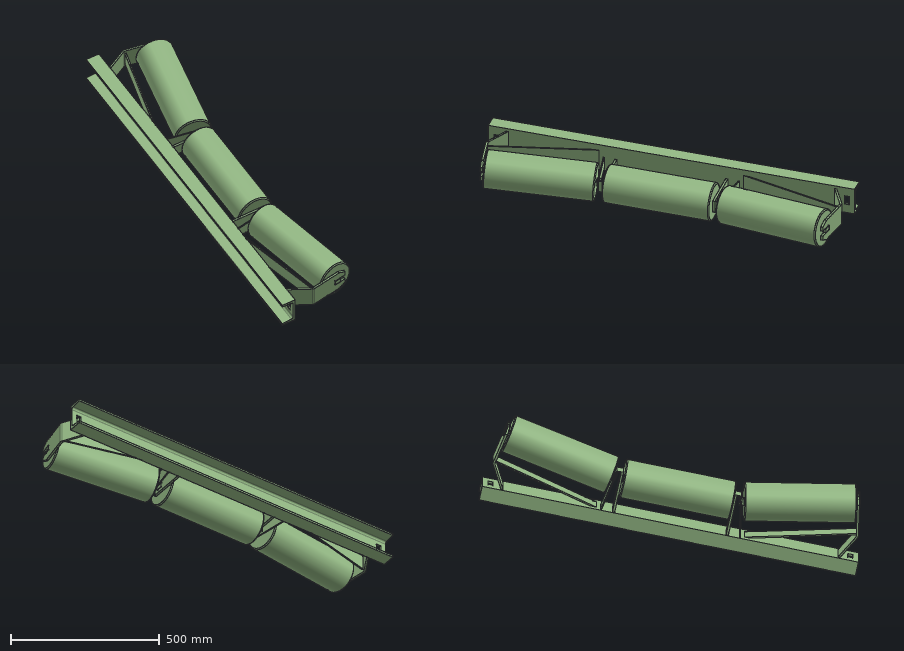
import cadquery as cq
import math


CHANNEL_LENGTH = 1300.0
CHANNEL_HEIGHT = 100.0
CHANNEL_DEPTH = 51.0
WEB_THICKNESS = 8.0
FLANGE_TIP = 8.0
FLANGE_ROOT = 12.0
FLANGE_FILLET = 8.0
MOUNT_SLOT_WIDTH = 17.0
MOUNT_SLOT_HEIGHT = 32.0
MOUNT_SLOT_X = 621.0

ROLLER_RADIUS = 66.0
ROLLER_LENGTH = 380.0
ROLLER_CHAMFER = 4.0
ROLLER_Z = -20.0
CENTRE_ROLLER_Y = 117.0
WING_INNER_X = 228.0
WING_INNER_Y = 121.0
TROUGH_ANGLE = 10.0
TILT_ANGLE = 3.0

SHAFT_DEPTH = 23.0
SHAFT_WIDTH = 15.0
POST_SHAFT_REACH = 10.0
WING_SHAFT_REACH = 15.0
OUTER_SHAFT_REACH = 14.0
SLOT_WIDTH = 20.0

PLATE = 8.0
BRACKET_WIDTH = 78.0
BEND_X = 632.0
BEND_Y = 83.0
BEND_RADIUS = 13.0
FOOT_X = 586.0
BRACKET_TOP_Y = 221.0
TIP_WIDTH = 52.0
TIP_TAPER = 26.0

POST_INNER_X = 192.0
STRAP = 4.0
INNER_TOP_Y = 145.0
STRAP_FOOT_X = 242.0
INNER_BRACKET_WIDTH = 44.0

BRACE = 5.0
BRACE_WIDTH = 55.0
BRACE_FOOT_X = 256.0
BRACE_TOP_Y = 91.0

TROUGH_SLOPE = math.tan(math.radians(TROUGH_ANGLE))


def make_channel():
    half = CHANNEL_HEIGHT / 2
    channel = (
        cq.Workplane("YZ", origin=(-CHANNEL_LENGTH / 2, 0, 0))
        .polyline([
            (0, -half),
            (-CHANNEL_DEPTH, -half),
            (-CHANNEL_DEPTH, -half + FLANGE_TIP),
            (-WEB_THICKNESS, -half + FLANGE_ROOT),
            (-WEB_THICKNESS, half - FLANGE_ROOT),
            (-CHANNEL_DEPTH, half - FLANGE_TIP),
            (-CHANNEL_DEPTH, half),
            (0, half),
        ])
        .close()
        .extrude(CHANNEL_LENGTH)
    )
    for side in (-1, 1):
        root = cq.selectors.NearestToPointSelector((0, -WEB_THICKNESS, side * (half - FLANGE_ROOT)))
        channel = channel.edges(root).fillet(FLANGE_FILLET)
    slots = (
        cq.Workplane("XZ")
        .pushPoints([(-MOUNT_SLOT_X, 0), (MOUNT_SLOT_X, 0)])
        .rect(MOUNT_SLOT_WIDTH, MOUNT_SLOT_HEIGHT)
        .extrude(WEB_THICKNESS)
    )
    return channel.cut(slots)


def make_roller(near_reach, far_reach):
    """A roller along +X from its near face at the origin, with a shaft end reaching out of each face."""
    shell = cq.Workplane("YZ").circle(ROLLER_RADIUS).extrude(ROLLER_LENGTH)
    shell = shell.edges().chamfer(ROLLER_CHAMFER)
    shaft = (
        cq.Workplane("YZ", origin=(-near_reach, 0, 0))
        .rect(SHAFT_DEPTH, SHAFT_WIDTH)
        .extrude(near_reach + ROLLER_LENGTH + far_reach)
    )
    return shell.union(shaft)


def place_on_wing(body):
    """Move a body from the roller frame to the right-hand wing roller."""
    return (
        body.rotate((0, 0, 0), (0, 1, 0), -TILT_ANGLE)
        .rotate((0, 0, 0), (0, 0, 1), TROUGH_ANGLE)
        .translate((WING_INNER_X, WING_INNER_Y, ROLLER_Z))
    )


def make_outer_bracket():
    """The right-hand bent plate with a tapered tip and a shaft slot open at the tip."""
    top_x = BEND_X - (BRACKET_TOP_Y - BEND_Y) * TROUGH_SLOPE
    plate = (
        cq.Workplane("XY", origin=(0, 0, -BRACKET_WIDTH / 2))
        .polyline([
            (FOOT_X, 0),
            (BEND_X, BEND_Y),
            (top_x, BRACKET_TOP_Y),
            (top_x - PLATE, BRACKET_TOP_Y),
            (BEND_X - PLATE, BEND_Y),
            (FOOT_X - PLATE, 0),
        ])
        .close()
        .extrude(BRACKET_WIDTH)
    )
    outer_bend = cq.selectors.NearestToPointSelector((BEND_X, BEND_Y, 0))
    inner_bend = cq.selectors.NearestToPointSelector((BEND_X - PLATE, BEND_Y, 0))
    plate = plate.edges(outer_bend).fillet(BEND_RADIUS)
    plate = plate.edges(inner_bend).fillet(BEND_RADIUS - PLATE)
    taper_y = BRACKET_TOP_Y - TIP_TAPER
    outline = (
        cq.Workplane("YZ")
        .polyline([
            (0, -BRACKET_WIDTH / 2),
            (taper_y, -BRACKET_WIDTH / 2),
            (BRACKET_TOP_Y, -TIP_WIDTH / 2),
            (BRACKET_TOP_Y, TIP_WIDTH / 2),
            (taper_y, BRACKET_WIDTH / 2),
            (0, BRACKET_WIDTH / 2),
        ])
        .close()
        .extrude(BEND_X)
    )
    return plate.intersect(outline).cut(make_tip_slot())


def make_tip_slot():
    """A cutter along the wing roller, from the shaft's lower side out past the bracket tip."""
    slot = cq.Workplane("XY").box(
        2 * SHAFT_DEPTH, BRACKET_TOP_Y, SLOT_WIDTH, centered=(True, False, True)
    )
    slot = slot.translate((ROLLER_LENGTH, -SHAFT_DEPTH / 2, 0))
    tilt_rise = ROLLER_LENGTH * math.sin(math.radians(TILT_ANGLE))
    return (
        slot.rotate((0, 0, 0), (0, 0, 1), TROUGH_ANGLE)
        .translate((WING_INNER_X, WING_INNER_Y, ROLLER_Z + tilt_rise))
    )


def make_inner_bracket():
    """The right-hand bracket: a post and a leaning strap joined by a bridge at the top."""
    under_bridge_y = INNER_TOP_Y - STRAP
    post_outer_x = POST_INNER_X + PLATE

    def strap_x(y):
        return STRAP_FOOT_X - y * TROUGH_SLOPE

    bracket = (
        cq.Workplane("XY", origin=(0, 0, ROLLER_Z - INNER_BRACKET_WIDTH / 2))
        .polyline([
            (POST_INNER_X, 0),
            (POST_INNER_X, INNER_TOP_Y),
            (strap_x(INNER_TOP_Y), INNER_TOP_Y),
            (STRAP_FOOT_X, 0),
            (STRAP_FOOT_X - STRAP, 0),
            (strap_x(under_bridge_y) - STRAP, under_bridge_y),
            (post_outer_x, under_bridge_y),
            (post_outer_x, 0),
        ])
        .close()
        .extrude(INNER_BRACKET_WIDTH)
    )
    post_window = cq.Workplane("XY").box(2 * PLATE, SHAFT_DEPTH, SLOT_WIDTH)
    post_window = post_window.translate((POST_INNER_X, CENTRE_ROLLER_Y, ROLLER_Z))
    strap_window = (
        cq.Workplane("XY")
        .box(3 * WING_SHAFT_REACH, SHAFT_DEPTH, SLOT_WIDTH)
        .rotate((0, 0, 0), (0, 0, 1), TROUGH_ANGLE)
        .translate((WING_INNER_X, WING_INNER_Y, ROLLER_Z))
    )
    return bracket.cut(post_window).cut(strap_window)


def make_brace():
    """The right-hand brace, from the channel up to the outer bracket just above its bend."""
    end_x = BEND_X - PLATE - (BRACE_TOP_Y - BEND_Y) * TROUGH_SLOPE
    slope = BRACE_TOP_Y / (end_x - BRACE_FOOT_X)
    end_drop = BRACE / (1 + slope * TROUGH_SLOPE)
    return (
        cq.Workplane("XY", origin=(0, 0, -BRACE_WIDTH / 2))
        .polyline([
            (BRACE_FOOT_X, 0),
            (end_x, BRACE_TOP_Y),
            (end_x + end_drop * TROUGH_SLOPE, BRACE_TOP_Y - end_drop),
            (BRACE_FOOT_X + BRACE / slope, 0),
        ])
        .close()
        .extrude(BRACE_WIDTH)
    )


channel = make_channel()
centre_roller = make_roller(POST_SHAFT_REACH, POST_SHAFT_REACH).translate(
    (-ROLLER_LENGTH / 2, CENTRE_ROLLER_Y, ROLLER_Z)
)

right_hand_bodies = [
    place_on_wing(make_roller(WING_SHAFT_REACH, OUTER_SHAFT_REACH)),
    make_outer_bracket(),
    make_inner_bracket(),
    make_brace(),
]

bodies = [channel.val(), centre_roller.val()]
for body in right_hand_bodies:
    bodies.append(body.val())
    bodies.append(body.mirror("YZ").val())

result = cq.Compound.makeCompound(bodies)